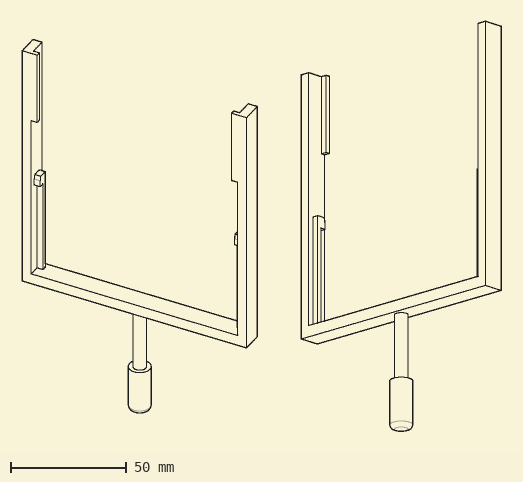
import cadquery as cq

width = 110.0
depth = 10.0
height = 172.0

wall = 4.5
floor_thickness = 5.2
frame_height = 120.0
frame_bottom = height - frame_height
floor = frame_bottom + floor_thickness

ledge = 3.0
lip_length = 35.1
lip_thickness = 2.0
block_top = 107.0
block_height = 5.2
block_chamfer_height = 2.0
block_chamfer_depth = 0.5
block_depth = 4.6
rail_depth = 2.0
rear_setback = 2.5

stem_diameter = 6.0
stem_length = 30.0
knob_diameter = depth
knob_height = frame_bottom - stem_length
knob_fillet = 2.0

front = -depth / 2
rail_rear = depth / 2 - rear_setback
block_front = rail_rear - block_depth
block_bottom = block_top - block_height
inner_left = -width / 2 + wall


def box(x_start, y_start, z_start, x_size, y_size, z_size):
    """Box placed by its lowest corner."""
    solid = cq.Workplane("XY").box(x_size, y_size, z_size, centered=False)
    return solid.translate((x_start, y_start, z_start))


def make_frame():
    outer = box(-width / 2, front, frame_bottom, width, depth, frame_height)
    opening = box(inner_left, front, floor, width - 2 * wall, depth, height - floor)
    return outer.cut(opening)


def make_left_arm_features():
    """Front lip at the top, rail at the bottom and the chamfered block on the rail."""
    lip = box(inner_left, front, height - lip_length, ledge, lip_thickness, lip_length)
    rail = box(inner_left, rail_rear - rail_depth, floor, ledge, rail_depth, block_top - floor)
    block = (
        cq.Workplane("YZ", origin=(inner_left, 0, 0))
        .moveTo(rail_rear, block_bottom)
        .lineTo(block_front, block_bottom)
        .lineTo(block_front, block_top - block_chamfer_height)
        .lineTo(block_front + block_chamfer_depth, block_top)
        .lineTo(rail_rear, block_top)
        .close()
        .extrude(ledge)
    )
    return lip, rail, block


def make_handle():
    knob = cq.Workplane("XY").circle(knob_diameter / 2).extrude(knob_height)
    knob = knob.faces("<Z").edges().fillet(knob_fillet)
    stem = (
        cq.Workplane("XY", origin=(0, 0, knob_height))
        .circle(stem_diameter / 2)
        .extrude(floor - knob_height)
    )
    return knob.union(stem)


result = make_frame().union(make_handle())
for feature in make_left_arm_features():
    result = result.union(feature).union(feature.mirror("YZ"))